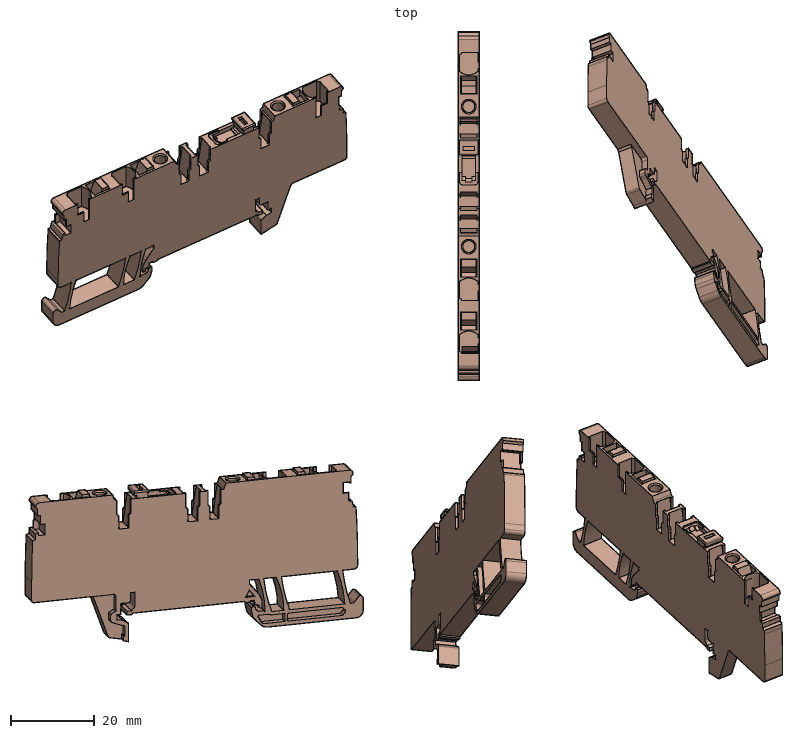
import cadquery as cq
import math


thickness = 5.1
half_thickness = thickness / 2
front_end = -41.8
back_end = 41.8
top = 37.5
bridge_top = 36.0
housing_bottom = 12.4
rail_face = 7.1
total_height = 38.1
overlap = 0.4


def rounded_outline(corners):
    """Closed YZ outline; a corner (y, z, r) is rounded with radius r, a corner (y, z) stays sharp."""
    path = []
    count = len(corners)
    for i, corner in enumerate(corners):
        y, z = corner[:2]
        radius = corner[2] if len(corner) > 2 else 0
        if not radius:
            path.append(((y, z), None, (y, z)))
            continue
        before = cq.Vector(*corners[i - 1][:2])
        after = cq.Vector(*corners[(i + 1) % count][:2])
        here = cq.Vector(y, z)
        to_before = (before - here).normalized()
        to_after = (after - here).normalized()
        half_angle = to_before.getAngle(to_after) / 2
        tangent_length = radius / math.tan(half_angle)
        start = here + to_before * tangent_length
        end = here + to_after * tangent_length
        bisector = (to_before + to_after).normalized()
        middle = here + bisector * (radius / math.sin(half_angle) - radius)
        path.append((start.toTuple()[:2], middle.toTuple()[:2], end.toTuple()[:2]))

    outline = cq.Workplane("YZ").moveTo(*path[0][2])
    for start, middle, end in path[1:] + path[:1]:
        outline = outline.lineTo(*start)
        if middle:
            outline = outline.threePointArc(middle, end)
    return outline.wire()


def plate(corners, x_from=-half_thickness, x_to=half_thickness):
    """Outline extruded in X from x_from to x_to."""
    return rounded_outline(corners).extrude(x_to - x_from).translate((x_from, 0, 0))


def block(x_from, x_to, y_from, y_to, z_from, z_to):
    """Box given by its limits."""
    size = (x_to - x_from, y_to - y_from, z_to - z_from)
    return cq.Workplane("XY").box(*size, centered=False).translate((x_from, y_from, z_from))


end_bow_radius = 208.85
housing_corners = [
    (back_end, housing_bottom, 0.7),
    (back_end, 22.3, end_bow_radius),
    (41.5, 28.0),
    (40.8, 28.3),
    (40.8, 29.65),
    (39.8, 29.8),
    (39.8, 31.3),
    (39.5, 31.8),
    (39.5, 34.25),
    (40.3, 34.25),
    (40.3, 35.9),
    (40.8, 36.5),
    (40.8, top, 0.9),
    (21.3, top),
    (21.0, 36.3, 0.4),
    (20.3, bridge_top),
    (-5.85, bridge_top),
    (-6.6, bridge_top, 0.4),
    (-7.2, top),
    (-39.2, top, 0.9),
    (-39.2, 36.4),
    (-38.7, 35.9),
    (-38.7, 34.25),
    (-37.9, 34.2),
    (-37.9, 31.8),
    (-38.1, 31.8),
    (-38.1, 29.7),
    (-38.9, 29.7, 0.4),
    (-39.35, 28.1),
    (-39.9, 28.0),
    (-40.35, 21.1, end_bow_radius),
    (-40.35, housing_bottom, 0.9),
]

rail_block_corners = [
    (15.8, housing_bottom + overlap),
    (15.8, 8.7, 0.7),
    (16.6, 7.8),
    (17.8, 7.8),
    (17.8, 6.8),
    (16.5, 6.8),
    (16.4, rail_face),
    (-11.95, rail_face),
    (-12.0, 6.8),
    (-13.4, 6.8),
    (-13.45, rail_face),
    (-14.4, rail_face),
    (-14.45, 6.1),
    (-15.5, 5.8),
    (-15.45, 5.2),
    (-16.2, 5.0),
    (-16.2, 7.2, 1.7),
    (-15.3, 8.85, 5),
    (-13.1, 11.5),
    (-13.1, housing_bottom + overlap),
]


web_face = -1.0
rear_rim_corners = [
    (16.9, housing_bottom + overlap),
    (16.9, 9.85, 0.7),
    (19.3, 9.85),
    (19.3, rail_face),
    (20.3, rail_face),
    (20.3, 5.85),
    (18.9, 5.6),
    (17.4, 4.7, 0.3),
    (17.4, 0),
    (18.6, 0.3),
    (18.6, 1.6),
    (18.3, 1.6),
    (18.3, 4.0),
    (21.0, 5.1),
    (21.9, 5.4, 0.5),
    (21.9, 7.4, 0.5),
    (20.55, 8.1),
    (20.55, housing_bottom, 0.7),
    (21.9, housing_bottom),
    (21.9, housing_bottom + overlap),
]
rear_web_corners = [
    (26.3, housing_bottom + overlap),
    (26.3, housing_bottom),
    (25.8, 11.9),
    (21.9, 1.0, 0.5),
    (18.0, 0.2),
    (18.0, 4.6),
    (20.5, 5.5),
    (20.05, housing_bottom + overlap),
]


bar_top = 3.85
front_bar_corners = [
    (-16.7, 0, 2.5),
    (-14.1, 2.5, 1.7),
    (-13.6, 4.4),
    (-13.6, 5.35),
    (-14.0, 5.7),
    (-14.6, 5.35),
    (-14.6, 4.9),
    (-15.2, 4.3, 0.3),
    (-16.6, 4.3, 0.4),
    (-17.2, bar_top),
    (-38.1, bar_top),
    (-39.35, bar_top, 0.3),
    (-40.7, 5.5, 0.2),
    (front_end, 5.5, 0.8),
    (front_end, 0, 1.8),
]


def leg(front_arc, back_arc):
    """Curved leg between two three-point arcs, each listed from top to bottom."""
    return (
        cq.Workplane("YZ")
        .moveTo(*front_arc[0])
        .threePointArc(*front_arc[1:])
        .lineTo(*back_arc[2])
        .threePointArc(back_arc[1], back_arc[0])
        .close()
        .extrude(thickness)
        .translate((-half_thickness, 0, 0))
    )


leg_arcs = [
    (
        [(-16.7, housing_bottom), (-17.4, 8.35), (-18.7, bar_top)],
        [(-15.45, housing_bottom), (-16.6, 8.2), (-17.05, bar_top)],
    ),
    (
        [(-21.1, housing_bottom), (-21.9, 8.35), (-23.2, bar_top)],
        [(-19.8, housing_bottom), (-21.2, 8.35), (-21.7, bar_top)],
    ),
    (
        [(-36.6, housing_bottom), (-37.3, 8.35), (-38.5, bar_top)],
        [(-35.25, housing_bottom), (-36.4, 8.35), (-37.1, bar_top)],
    ),
]

body = plate(housing_corners).union(plate(rail_block_corners))
body = body.union(plate(rear_rim_corners)).union(plate(rear_web_corners, web_face))
body = body.union(plate(front_bar_corners))
for front_arc, back_arc in leg_arcs:
    body = body.union(leg(front_arc, back_arc))


bar_pocket_depth = 1.7
triangle_depth = 0.8
front_bar_pockets = [
    [(-15.0, 3.25, 0.25), (-17.8, 3.25), (-18.55, 3.0), (-22.0, 3.0), (-22.0, 1.0), (-16.45, 1.0, 0.5)],
    [(-22.6, 3.0, 0.4), (-36.5, 3.0, 0.4), (-37.4, 2.0, 0.4), (-36.5, 1.0, 0.4), (-22.6, 1.0, 0.4)],
]
triangle_pocket = [(-13.0, 9.85), (-12.1, 8.1), (-14.45, 8.1)]
for corners in front_bar_pockets:
    body = body.cut(plate(corners, -half_thickness, -half_thickness + bar_pocket_depth))
body = body.cut(plate(triangle_pocket, -half_thickness, -half_thickness + triangle_depth))


notch_wall = 0.4
inner = half_thickness - notch_wall
end_notches = [
    (-half_thickness, inner, -38.35, -36.75, 31.8, 34.5),
    (-inner, half_thickness, -38.35, -36.75, 29.1, 31.8),
    (-half_thickness, inner, 38.4, 40.0, 29.2, 32.0),
]
for limits in end_notches:
    body = body.cut(block(*limits))


slot_floor = 28.7
slot_floor_round = 0.3
slot_step = 32.25
slot_step_width = 0.5
taper_half_width = 1.9
jumper_slots = [(18.55, 2.5), (1.2, 2.5), (-4.3, 2.25)]


def jumper_slot(centre, width):
    narrow = width / 2
    wide = narrow + slot_step_width
    mouth = wide + slot_step_width
    lip = top + overlap
    stepped = [
        (centre - narrow, slot_floor),
        (centre + narrow, slot_floor, slot_floor_round),
        (centre + narrow, slot_step - slot_step_width / 2),
        (centre + wide, slot_step + slot_step_width / 2),
        (centre + wide, lip),
        (centre - wide, lip),
        (centre - wide, slot_step + slot_step_width / 2),
        (centre - narrow, slot_step - slot_step_width / 2),
    ]
    tapered = [
        (centre - narrow, slot_floor),
        (centre + narrow, slot_floor),
        (centre + mouth, bridge_top),
        (centre - mouth, bridge_top),
    ]
    return plate(stepped).union(plate(tapered, -taper_half_width, taper_half_width))


for centre, width in jumper_slots:
    body = body.cut(jumper_slot(centre, width))


funnel_depth = 6.7
funnel_half_x = 2.2
funnel_length = 5.35
funnel_bulge = 0.8
funnel_chamfer = 0.6
opening_depth = 3.6
opening_start = 0.5
deep_opening_start = 2.25
opening_end = 3.8
arch_wall = 0.25
button_window = 4.35
button_window_half_x = 2.0
window_depth = 3.3
button_half_x = 1.75
button_length = 1.75
button_gap = 0.2
valley_from_button = 1.3
valley_height = 0.8
arch_ramp_height = 2.1
terminals = [(31.4, 1), (-17.2, -1), (-29.9, -1)]


def block_along(x_from, x_to, y_a, y_b, z_from, z_to):
    """Box whose Y limits may be given in either order."""
    return block(x_from, x_to, min(y_a, y_b), max(y_a, y_b), z_from, z_to)


def wire_funnel(crown, side):
    shoulder = crown + side * funnel_bulge
    flat_end = crown + side * funnel_length
    floor = top - funnel_depth
    pocket = (
        cq.Workplane("XY", origin=(0, 0, floor))
        .moveTo(-funnel_half_x + funnel_chamfer, flat_end)
        .lineTo(-funnel_half_x, flat_end - side * funnel_chamfer)
        .lineTo(-funnel_half_x, shoulder)
        .threePointArc((0, crown), (funnel_half_x, shoulder))
        .lineTo(funnel_half_x, flat_end)
        .close()
        .extrude(funnel_depth + overlap)
    )
    y_end = flat_end - side * opening_end
    for start, z_floor in [(opening_start, top - opening_depth), (deep_opening_start, floor)]:
        y_start = flat_end - side * start
        pocket = pocket.union(block_along(0, half_thickness, y_start, y_end, z_floor, top + overlap))
    return pocket


def button_cutout(crown, side):
    near = crown - side * arch_wall
    far = near - side * button_window
    return block_along(
        -button_window_half_x, button_window_half_x, near, far, top - window_depth, top + overlap
    )


def push_button(crown, side):
    near = crown - side * arch_wall
    outer = near - side * (button_window - button_gap)
    crest = outer + side * button_length
    base = top - window_depth - overlap
    profile = [
        (outer, base),
        (outer, total_height),
        (crest, total_height),
        (crest + side * valley_from_button, base + valley_height),
        (near, base + arch_ramp_height),
        (near, base),
    ]
    return plate(profile, -button_half_x, button_half_x)


for crown, side in terminals:
    body = body.cut(wire_funnel(crown, side)).cut(button_cutout(crown, side))
    body = body.union(push_button(crown, side))

funnel_floor = top - funnel_depth
floor_groove_depth = 2.5
floor_groove = [(-33.6, funnel_floor), (-34.75, funnel_floor - floor_groove_depth), (-35.1, funnel_floor)]
body = body.cut(plate(floor_groove, -funnel_half_x + funnel_chamfer, funnel_half_x))

test_hole_radius = 1.4
test_hole_rim_radius = 1.75
test_hole_depth = 5.0
countersink_angle = 45
countersink_depth = test_hole_rim_radius - test_hole_radius
test_hole_centres = [23.8, -9.7]
for centre in test_hole_centres:
    hole = cq.Workplane("XY", origin=(0, centre, top - test_hole_depth)).circle(test_hole_radius)
    body = body.cut(hole.extrude(test_hole_depth))
    rim = cq.Workplane("XY", origin=(0, centre, top)).circle(test_hole_rim_radius)
    body = body.cut(rim.extrude(-countersink_depth, taper=countersink_angle))


channel_floor = 34.75
channel_half_x = 1.7
ledge_height = 0.25
ledge_top = channel_floor + ledge_height
channel_corners = [
    (12.8, bridge_top + overlap),
    (12.8, ledge_top + ledge_height),
    (12.0, ledge_top),
    (11.45, ledge_top),
    (11.45, channel_floor),
    (7.1, channel_floor),
    (5.6, bridge_top),
    (5.6, bridge_top + overlap),
]
body = body.cut(plate(channel_corners, -channel_half_x, channel_half_x))

recess_depth = 0.4
recess_half_x = 2.2
recess_round = 0.7
finger_recess = block(-recess_half_x, recess_half_x, 5.1, 8.1, bridge_top - recess_depth, bridge_top)
body = body.cut(finger_recess.edges("|Z and <Y").fillet(recess_round))

ramp_groove_half_x = 0.75
ramp_groove = [(7.1, channel_floor), (5.6, bridge_top), (5.4, bridge_top), (6.6, channel_floor)]
body = body.cut(plate(ramp_groove, -ramp_groove_half_x, ramp_groove_half_x))

lever_top = 37.85
lever_half_x = 2.5
lever_chamfer_height = 0.4
lever_chamfer_width = 0.25
lever_corners = [
    (15.3, bridge_top - overlap),
    (15.3, 36.75),
    (15.9, 36.8),
    (15.9, lever_top, 0.25),
    (12.2, lever_top, 0.25),
    (12.2, 37.3),
    (12.5, 37.1),
    (12.4, bridge_top - overlap),
]
lever = plate(lever_corners, -lever_half_x, lever_half_x)
head_section = (
    cq.Workplane("XZ", origin=(0, back_end, 0))
    .moveTo(-lever_half_x, 0)
    .lineTo(-lever_half_x, lever_top - lever_chamfer_height)
    .lineTo(-lever_half_x + lever_chamfer_width, lever_top)
    .lineTo(lever_half_x - lever_chamfer_width, lever_top)
    .lineTo(lever_half_x, lever_top - lever_chamfer_height)
    .lineTo(lever_half_x, 0)
    .close()
    .extrude(back_end)
)
lever = lever.intersect(head_section)
thumb_slot_half_x = 1.3
thumb_slot_floor = 36.9
thumb_slot = block(-thumb_slot_half_x, thumb_slot_half_x, 13.4, 14.3, thumb_slot_floor, lever_top)
body = body.union(lever).cut(thumb_slot)

result = body